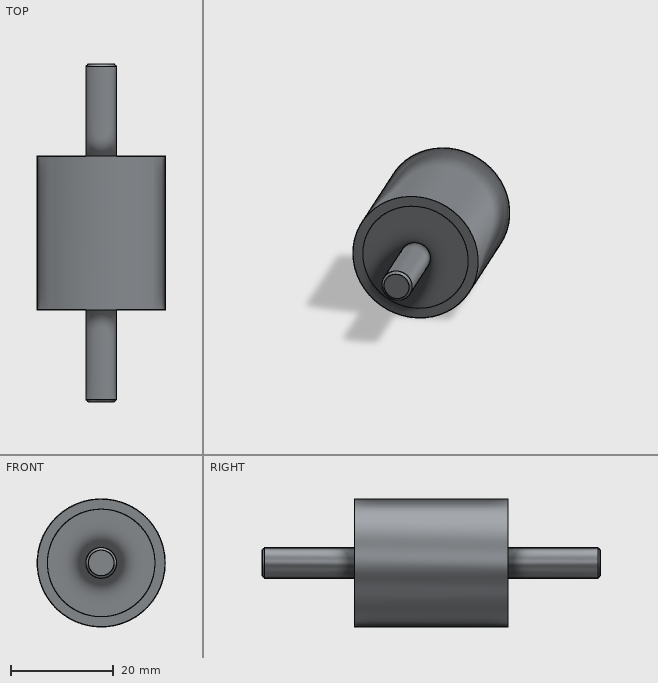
import cadquery as cq

buffer_diameter = 25.0
buffer_length = 30.0
plate_diameter = 21.0
plate_thickness = 2.0
stud_diameter = 6.0
stud_length = 18.0
stud_chamfer = 0.5

half_length = buffer_length / 2


def cylinder_along_y(diameter, start_y, length):
    """Solid cylinder centred on the Y axis, growing from start_y toward +Y."""
    plane = cq.Plane(origin=(0, start_y, 0), xDir=(1, 0, 0), normal=(0, 1, 0))
    return cq.Workplane(plane).circle(diameter / 2).extrude(length)


def make_stud_plate():
    """Plate flush with the +Y end of the buffer, with its stud pointing outward."""
    plate = cylinder_along_y(plate_diameter, half_length - plate_thickness, plate_thickness)
    stud = cylinder_along_y(stud_diameter, half_length, stud_length)
    stud = stud.faces(">Y").chamfer(stud_chamfer)
    return plate.union(stud)


def make_rubber_buffer():
    """Rubber cylinder with a round recess in each end for the plates."""
    rubber = cylinder_along_y(buffer_diameter, -half_length, buffer_length)
    for recess_start in (-half_length, half_length - plate_thickness):
        rubber = rubber.cut(cylinder_along_y(plate_diameter, recess_start, plate_thickness))
    return rubber


rubber_buffer = make_rubber_buffer()

stud_plates = []
for turn in (0, 180):
    stud_plates.append(make_stud_plate().rotate((0, 0, 0), (0, 0, 1), turn).val())

result = cq.Compound.makeCompound([rubber_buffer.val(), *stud_plates])